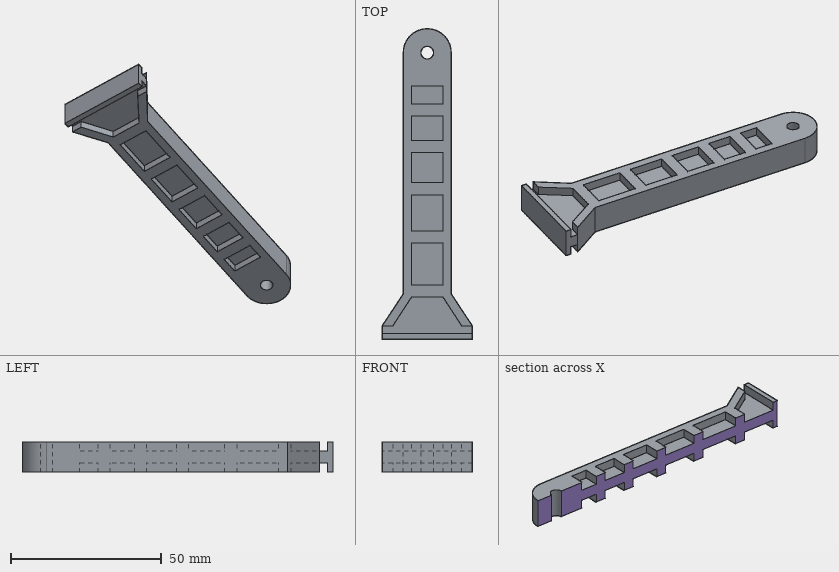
import cadquery as cq

length = 103.0
head_width = 30.0
thickness = 10.0
handle_width = 16.0

flange_thickness = 1.9
groove_width = 2.6
web_thickness = 4.0
flare_start = flange_thickness + groove_width
flare_end = 15.0

end_radius = handle_width / 2
end_center = length - end_radius
hole_diameter = 4.1

pocket_width = 10.4
pocket_depth = (thickness - web_thickness) / 2
rib_width = 4.0
longest_pocket = 13.9
pocket_step = 2.0
pocket_count = 5
flare_pocket_end = 14.0
flare_pocket_mouth = 22.9


def tapered_outline(start, end, start_width, end_width, bottom):
    """Closed symmetric trapezoid between two Y positions, at height bottom."""
    return cq.Workplane("XY", origin=(0, 0, bottom)).polyline([
        (-start_width / 2, start),
        (start_width / 2, start),
        (end_width / 2, end),
        (-end_width / 2, end),
    ]).close()


def centered_box(width, start, span, height):
    """Box centred on X and Z, running along Y from start."""
    return cq.Workplane("XY").box(width, span, height, centered=(True, False, True)).translate((0, start, 0))


def make_body():
    """Rounded handle, flared head, web and end flange."""
    handle = centered_box(handle_width, flare_end, end_center - flare_end, thickness)
    round_end = cq.Workplane("XY", origin=(0, end_center, -thickness / 2)).circle(end_radius).extrude(thickness)
    flare_outline = tapered_outline(flare_start, flare_end, head_width, handle_width, -thickness / 2)
    flare = flare_outline.extrude(thickness)
    web = centered_box(head_width, flange_thickness, groove_width, web_thickness)
    flange = centered_box(head_width, 0, flange_thickness, thickness)
    return handle.union(round_end).union(flare).union(web).union(flange)


def make_pockets():
    """Tools for the pockets in the upper face, leaving the central web."""
    pockets = tapered_outline(
        flare_start, flare_pocket_end, flare_pocket_mouth, pocket_width, web_thickness / 2
    ).extrude(pocket_depth)
    start = flare_pocket_end + rib_width
    for index in range(pocket_count):
        span = longest_pocket - index * pocket_step
        pocket = centered_box(pocket_width, start, span, pocket_depth)
        pockets = pockets.union(pocket.translate((0, 0, (web_thickness + pocket_depth) / 2)))
        start += span + rib_width
    return pockets


hole = cq.Workplane("XY", origin=(0, end_center, -thickness / 2)).circle(hole_diameter / 2).extrude(thickness)
upper_pockets = make_pockets()
lower_pockets = upper_pockets.mirror("XY")
result = make_body().cut(hole).cut(upper_pockets).cut(lower_pockets)